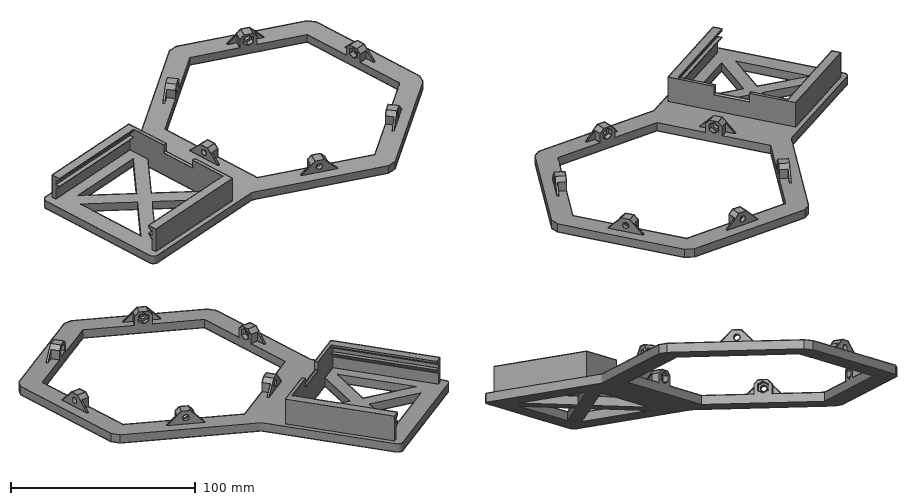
import cadquery as cq
import math

hexagon_sides = 6
hexagon_half_angle = 180 / hexagon_sides
hexagon_cosine = math.cos(math.radians(hexagon_half_angle))

plate_thickness = 5.0
total_height = 20.0
total_length = 220.0
total_width = 158.6
ring_width = 12.0
ring_corner_chamfer = 3.0
corner_radius = 3.0
ring_circumradius = (total_width + ring_corner_chamfer) / 2
ring_apothem = ring_circumradius * hexagon_cosine
opening_apothem = ring_apothem - ring_width
tray_width = ring_circumradius
tray_front_y = ring_apothem - total_length

wall_span = 75.0
wall_length = 62.5
wall_front_gap = 4.8
back_wall_thickness = 2.0
wall_height = total_height - plate_thickness
wall_front_y = tray_front_y + wall_front_gap
wall_back_y = wall_front_y + wall_length
back_wall_inner_y = wall_back_y - back_wall_thickness

side_wall_thickness = 2.6
rail_width = 5.3
lip_edge_depth = 1.0
lip_root_depth = 3.0
ridge_top_depth = 5.3
ridge_root_depth = 8.4

notch_width = 20.7
notch_depth = 5.3
notch_crest_height = back_wall_thickness / 2

window_width = 56.3
window_length = 55.0
brace_width = 8.0
brace_angle = 45
window_center_y = back_wall_inner_y - window_length / 2

lug_width = 10.0
lug_height = 8.0
lug_depth = 6.0
lug_chamfer = 2.5
fin_thickness = 1.0
screw_diameter = 3.5
screw_height = 3.7
nut_across_corners = 6.5
nut_depth = 3.0


def hexagon(apothem):
    """Hexagonal plate with two flats square to Y."""
    circumradius = apothem / hexagon_cosine
    return cq.Workplane("XY").polygon(hexagon_sides, 2 * circumradius).extrude(plate_thickness)


def make_plate():
    ring = hexagon(ring_apothem)
    tray_length = -opening_apothem - tray_front_y
    tray = (
        cq.Workplane("XY")
        .box(tray_width, tray_length, plate_thickness, centered=(True, False, False))
        .translate((0, tray_front_y, 0))
    )
    tray_joints = cq.selectors.BoxSelector(
        (-tray_width, -ring_apothem - corner_radius, 0),
        (tray_width, -ring_apothem + corner_radius, plate_thickness),
    )
    return (
        ring.edges("|Z and (<X or >X or >Y)")
        .chamfer(ring_corner_chamfer)
        .union(tray)
        .edges("|Z")
        .edges(tray_joints)
        .fillet(corner_radius)
        .edges("|Z and <Y")
        .fillet(corner_radius)
        .cut(hexagon(opening_apothem))
    )


def make_window():
    """Window through the tray floor, less its two diagonal braces."""
    window = cq.Workplane("XY").rect(window_width, window_length).extrude(plate_thickness)
    brace_length = 2 * window_width
    for angle in (brace_angle, -brace_angle):
        brace = cq.Workplane("XY").rect(brace_length, brace_width).extrude(plate_thickness)
        window = window.cut(brace.rotate((0, 0, 0), (0, 0, 1), angle))
    return window.translate((0, window_center_y, 0))


def make_walls():
    half_span = wall_span / 2
    wall_inner_x = side_wall_thickness - half_span
    rail_x = rail_width - half_span
    left_wall = (
        cq.Workplane("XZ", origin=(0, wall_back_y, 0))
        .moveTo(-half_span, plate_thickness)
        .lineTo(-half_span, total_height)
        .lineTo(rail_x, total_height)
        .lineTo(rail_x, total_height - lip_edge_depth)
        .lineTo(wall_inner_x, total_height - lip_root_depth)
        .lineTo(wall_inner_x, total_height - ridge_top_depth)
        .lineTo(rail_x, total_height - ridge_top_depth)
        .lineTo(wall_inner_x, total_height - ridge_root_depth)
        .lineTo(wall_inner_x, plate_thickness)
        .close()
        .extrude(wall_length)
    )
    back_wall = (
        cq.Workplane("XY")
        .box(wall_span, back_wall_thickness, wall_height, centered=(True, False, False))
        .translate((0, back_wall_inner_y, plate_thickness))
    )
    notch_floor_z = total_height - notch_depth
    notch = (
        cq.Workplane("YZ", origin=(-notch_width / 2, 0, 0))
        .moveTo(wall_back_y, total_height)
        .lineTo(wall_back_y, notch_floor_z)
        .lineTo((wall_back_y + back_wall_inner_y) / 2, notch_floor_z + notch_crest_height)
        .lineTo(back_wall_inner_y, notch_floor_z)
        .lineTo(back_wall_inner_y, total_height)
        .close()
        .extrude(notch_width)
    )
    return left_wall.union(left_wall.mirror("YZ")).union(back_wall.cut(notch))


def make_lug():
    """Lug on the +Y side of the ring, flush with the opening."""
    inner_y = opening_apothem
    outer_y = inner_y + lug_depth
    half_top = lug_width / 2 - lug_chamfer
    half_base = half_top + lug_height
    block = (
        cq.Workplane("XY")
        .box(lug_width, lug_depth, lug_height, centered=(True, False, False))
        .edges("|Y and >Z")
        .chamfer(lug_chamfer)
        .translate((0, inner_y, plate_thickness))
    )
    top_z = plate_thickness + lug_height
    fin = (
        cq.Workplane("XZ", origin=(0, outer_y, 0))
        .polyline([
            (-half_base, plate_thickness),
            (-half_top, top_z),
            (half_top, top_z),
            (half_base, plate_thickness),
        ])
        .close()
        .extrude(fin_thickness)
    )
    screw_axis = cq.Workplane("XZ", origin=(0, outer_y, plate_thickness + screw_height))
    screw_hole = screw_axis.circle(screw_diameter / 2).extrude(lug_depth)
    nut_pocket = (
        cq.Workplane("XZ", origin=(0, inner_y + nut_depth, plate_thickness + screw_height))
        .transformed(rotate=(0, 0, hexagon_half_angle))
        .polygon(hexagon_sides, nut_across_corners)
        .extrude(nut_depth)
    )
    return block.union(fin).cut(screw_hole).cut(nut_pocket)


result = make_plate().cut(make_window()).union(make_walls())
lug = make_lug()
for index in range(hexagon_sides):
    result = result.union(lug.rotate((0, 0, 0), (0, 0, 1), index * 360 / hexagon_sides))